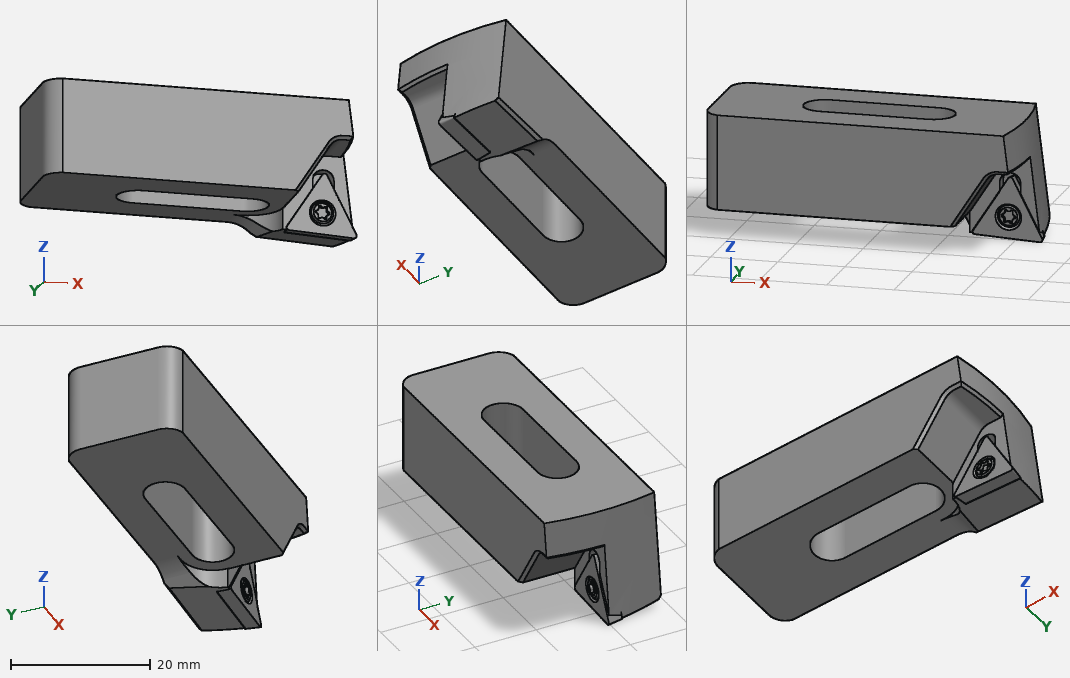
import math

import cadquery as cq

WIDTH = 18.0
SHANK_HEIGHT = 14.1
CORNER_RADIUS = 2.95
SIDE_TRIM = 0.1
MID_Y = WIDTH / 2

SLOT_START = 12.65
SLOT_LENGTH = 22.5
SLOT_WIDTH = 6.3

END_RADIUS = 45.3
END_TOP_X = 45.65

CLEARANCE_ANGLE = 7.0

INSERT_CENTER_X = 43.15
INSERT_CENTER_Z = -0.45
INSERT_INRADIUS = 3.2
INSERT_NOSE_RADIUS = 0.4
INSERT_THICKNESS = 2.35
INSERT_TURN = 3.0
INSERT_PROTRUSION = 0.3
INSERT_FRONT_Y = MID_Y - INSERT_PROTRUSION
INSERT_BACK_Y = INSERT_FRONT_Y + INSERT_THICKNESS
INSERT_EDGE_ANGLE = 60.0 - INSERT_TURN

LEDGE_FOOT_X = 37.4
LEDGE_TOP_Z = 8.25
LEDGE_CORNER_RADIUS = 2.05
LEDGE_EDGE_CHAMFER = 0.5

SCOOP_START_X = 31.45
SCOOP_RADIUS = 4.8
SCOOP_ANGLE = 40.0
NOSE_FRONT_X = 37.3
NOSE_RELIEF_RADIUS = 5.2
NOSE_BACK_CHAMFER = 0.5
NOSE_SETBACK = 0.1

RELIEF_CENTER_X = 43.35
RELIEF_TOP_Z = 6.1
RELIEF_WIDTH = 3.15

SCREW_OFFSET = 0.1
SCREW_Z = INSERT_CENTER_Z + SCREW_OFFSET
COUNTERSINK_RADIUS = 1.95
HEAD_RADIUS = 1.65
HEAD_FLAT_RADIUS = 1.35
HEAD_BEVEL_HEIGHT = 0.2
SHAFT_RADIUS = 1.25
BORE_RADIUS = SHAFT_RADIUS + SCREW_OFFSET
COUNTERSINK_DEPTH = COUNTERSINK_RADIUS - BORE_RADIUS
SCREW_LENGTH = 5.8

LOBES = 6
LOBE_RADIUS = 1.05
LOBE_ROOT_RADIUS = 0.75
LOBE_HALF_ANGLE = 12.0
SOCKET_TURN = 4.0
SOCKET_DEPTH = 0.6

OVERSHOOT = 9.65


def xz_plane(y, x=0.0, z=0.0):
    """Plane at depth y, drawn in X and Z, whose extrusions run towards +Y."""
    return cq.Workplane(cq.Plane(origin=(x, y, z), xDir=(-1, 0, 0), normal=(0, 1, 0)))


def from_front(x, z):
    """Local coordinates on xz_plane for a point at x, z from its origin."""
    return (-x, z)


def triangle_prism():
    """Insert body: rounded triangle, narrowing towards +Y by the clearance angle."""
    circumradius = 2 * INSERT_INRADIUS
    corners = []
    for index in range(3):
        angle = math.radians(90.0 - INSERT_TURN + 120.0 * index)
        corners.append(from_front(circumradius * math.cos(angle), circumradius * math.sin(angle)))
    sharp = cq.Sketch().polygon(corners + corners[:1])
    rounded = sharp.vertices().fillet(INSERT_NOSE_RADIUS)
    start = xz_plane(INSERT_FRONT_Y, INSERT_CENTER_X, INSERT_CENTER_Z)
    return start.placeSketch(rounded).extrude(INSERT_THICKNESS, taper=CLEARANCE_ANGLE)


def shank():
    """Bar with rounded left corners, its two sides then trimmed a little past the tangent line."""
    length = END_TOP_X + OVERSHOOT
    untrimmed = cq.Workplane("XY").box(length, WIDTH + 2 * SIDE_TRIM, SHANK_HEIGHT, centered=False)
    rounded = untrimmed.edges("|Z and <X").fillet(CORNER_RADIUS).translate((0, -SIDE_TRIM, 0))
    trimmed = cq.Workplane("XY").box(length, WIDTH, SHANK_HEIGHT, centered=False)
    return trimmed.intersect(rounded)


def nose_profile():
    """Side outline of the nose: a concave arc leaving the shank, then a straight slope."""
    angle = math.radians(SCOOP_ANGLE)
    arc_end_x = SCOOP_START_X + SCOOP_RADIUS * math.sin(angle)
    arc_end_z = -SCOOP_RADIUS * (1 - math.cos(angle))
    arc_mid_x = SCOOP_START_X + SCOOP_RADIUS * math.sin(angle / 2)
    arc_mid_z = -SCOOP_RADIUS * (1 - math.cos(angle / 2))
    slope_end_x = arc_end_x + OVERSHOOT
    slope_end_z = arc_end_z - OVERSHOOT * math.tan(angle)
    far_x = END_TOP_X + OVERSHOOT
    return (
        xz_plane(MID_Y)
        .moveTo(*from_front(SCOOP_START_X, 0))
        .threePointArc(from_front(arc_mid_x, arc_mid_z), from_front(arc_end_x, arc_end_z))
        .lineTo(*from_front(slope_end_x, slope_end_z))
        .lineTo(*from_front(far_x, slope_end_z))
        .lineTo(*from_front(far_x, 0))
        .close()
        .extrude(MID_Y)
    )


def nose_plan():
    """Outline of the nose from above: a quarter-round hollow leads up to the insert face."""
    hollow_center_x = NOSE_FRONT_X - NOSE_RELIEF_RADIUS
    hollow_back_y = MID_Y + NOSE_RELIEF_RADIUS
    diagonal = NOSE_RELIEF_RADIUS * math.sqrt(0.5)
    far_x = END_TOP_X + OVERSHOOT
    return (
        cq.Workplane("XY")
        .moveTo(far_x, MID_Y)
        .lineTo(NOSE_FRONT_X, MID_Y)
        .threePointArc(
            (hollow_center_x + diagonal, MID_Y + diagonal),
            (hollow_center_x, hollow_back_y),
        )
        .lineTo(SCOOP_START_X, hollow_back_y)
        .lineTo(SCOOP_START_X, WIDTH)
        .lineTo(far_x, WIDTH)
        .close()
        .extrude(-2 * OVERSHOOT)
    )


def below_nose():
    """Everything under the nose: parallel to the lower flank of the insert and set back from it."""
    turn = math.radians(INSERT_TURN)
    tilt = math.radians(CLEARANCE_ANGLE)
    depth = INSERT_INRADIUS - NOSE_SETBACK
    down = cq.Vector(-math.sin(turn), 0, -math.cos(turn))
    origin = cq.Vector(INSERT_CENTER_X, INSERT_FRONT_Y, INSERT_CENTER_Z) + down * depth
    normal = down * math.cos(tilt) + cq.Vector(0, math.sin(tilt), 0)
    along = cq.Vector(math.cos(turn), 0, -math.sin(turn))
    plane = cq.Plane(origin=origin, xDir=along, normal=normal)
    reach = 5 * OVERSHOOT
    return cq.Workplane(plane).rect(reach, reach).extrude(reach)


def nose():
    body = nose_profile().intersect(nose_plan()).cut(below_nose())
    back_lower_edge = body.faces(">Y").edges("<Z")
    return back_lower_edge.chamfer(NOSE_BACK_CHAMFER)


def end_cone():
    """Cone about a vertical axis whose side bounds the tool end."""
    slope = math.tan(math.radians(CLEARANCE_ANGLE))
    bottom_z = -OVERSHOOT
    height = SHANK_HEIGHT - bottom_z
    center = cq.Vector(END_TOP_X - END_RADIUS, MID_Y, bottom_z)
    cone = cq.Solid.makeCone(
        END_RADIUS + height * slope, END_RADIUS, height, center, cq.Vector(0, 0, 1)
    )
    return cq.Workplane(cone)


def ledge_cut():
    """Straight cut from the front face to the middle plane, parallel to the insert's left edge."""
    run = 1 / math.tan(math.radians(INSERT_EDGE_ANGLE))
    bottom_z = -OVERSHOOT
    far_x = END_TOP_X + OVERSHOOT
    corners = [
        from_front(LEDGE_FOOT_X + bottom_z * run, bottom_z),
        from_front(LEDGE_FOOT_X + LEDGE_TOP_Z * run, LEDGE_TOP_Z),
        from_front(far_x, LEDGE_TOP_Z),
        from_front(far_x, bottom_z),
    ]
    inner_corner = corners[1]
    sharp = cq.Sketch().polygon(corners + corners[:1])
    nearest = cq.NearestToPointSelector((*inner_corner, 0))
    rounded = sharp.vertices(nearest).fillet(LEDGE_CORNER_RADIUS)
    return xz_plane(0).placeSketch(rounded).extrude(MID_Y)


def chamfer_ledge_rim(body):
    """Chamfer where the ledge wall meets the front face and the conical end."""
    near = 0.05
    far_x = END_TOP_X + OVERSHOOT
    rim_top_z = LEDGE_TOP_Z + near
    on_front = cq.selectors.BoxSelector((LEDGE_FOOT_X, -near, near), (far_x, near, rim_top_z))
    on_end = cq.selectors.BoxSelector(
        (END_TOP_X, near, LEDGE_TOP_Z - near), (far_x, MID_Y - near, rim_top_z)
    )
    return body.edges(on_front + on_end).chamfer(LEDGE_EDGE_CHAMFER)


def corner_relief():
    radius = RELIEF_WIDTH / 2
    arc_z = RELIEF_TOP_Z - radius
    height = arc_z - INSERT_CENTER_Z
    depth = INSERT_BACK_Y - MID_Y
    round_end = xz_plane(MID_Y, RELIEF_CENTER_X, arc_z).circle(radius).extrude(depth)
    stem = (
        xz_plane(MID_Y, RELIEF_CENTER_X, arc_z - height / 2)
        .rect(RELIEF_WIDTH, height)
        .extrude(depth)
    )
    return round_end.union(stem)


def clamping_slot():
    center_x = SLOT_START + SLOT_LENGTH / 2
    return (
        cq.Workplane("XY")
        .center(center_x, MID_Y)
        .slot2D(SLOT_LENGTH, SLOT_WIDTH)
        .extrude(SHANK_HEIGHT)
    )


def turned(points, axis_z):
    """Solid of revolution from (radius, depth below the insert face) points, on an axis along Y."""
    plane = cq.Plane(
        origin=(INSERT_CENTER_X, INSERT_FRONT_Y, axis_z), xDir=(1, 0, 0), normal=(0, 0, 1)
    )
    return cq.Workplane(plane).polyline(points).close().revolve(360, (0, 0), (0, 1))


def insert_hole():
    """Bore with a 45 degree countersink at the insert face."""
    return turned(
        [
            (0, 0),
            (COUNTERSINK_RADIUS, 0),
            (BORE_RADIUS, COUNTERSINK_DEPTH),
            (BORE_RADIUS, INSERT_THICKNESS),
            (0, INSERT_THICKNESS),
        ],
        INSERT_CENTER_Z,
    )


def threaded_hole():
    start = xz_plane(INSERT_FRONT_Y, INSERT_CENTER_X, SCREW_Z)
    return start.circle(SHAFT_RADIUS).extrude(SCREW_LENGTH)


def drive_socket(face_depth):
    def polar(radius, degrees):
        angle = math.radians(degrees)
        return (radius * math.cos(angle), radius * math.sin(angle))

    pitch = 360.0 / LOBES
    flank_radius = (LOBE_RADIUS + LOBE_ROOT_RADIUS) / 2
    start = xz_plane(INSERT_FRONT_Y + face_depth, INSERT_CENTER_X, SCREW_Z)
    outline = start.moveTo(*polar(flank_radius, SOCKET_TURN - LOBE_HALF_ANGLE))
    for index in range(LOBES):
        tip = SOCKET_TURN + index * pitch
        outline = outline.threePointArc(
            polar(LOBE_RADIUS, tip), polar(flank_radius, tip + LOBE_HALF_ANGLE)
        ).threePointArc(
            polar(LOBE_ROOT_RADIUS, tip + pitch / 2),
            polar(flank_radius, tip + pitch - LOBE_HALF_ANGLE),
        )
    return outline.close().extrude(SOCKET_DEPTH)


def make_holder():
    stepped_shank = chamfer_ledge_rim(shank().intersect(end_cone()).cut(ledge_cut()))
    body = stepped_shank.union(nose().intersect(end_cone()))
    return body.cut(clamping_slot()).cut(triangle_prism()).cut(corner_relief()).cut(threaded_hole())


def make_insert():
    return triangle_prism().cut(insert_hole())


def make_screw():
    """Countersunk screw whose bevelled head bears on the upper side of the insert's countersink."""
    rim_depth = COUNTERSINK_RADIUS - SCREW_OFFSET - HEAD_RADIUS
    face_depth = rim_depth - HEAD_BEVEL_HEIGHT
    body = turned(
        [
            (0, face_depth),
            (HEAD_FLAT_RADIUS, face_depth),
            (HEAD_RADIUS, rim_depth),
            (SHAFT_RADIUS, COUNTERSINK_DEPTH),
            (SHAFT_RADIUS, SCREW_LENGTH),
            (0, SCREW_LENGTH),
        ],
        SCREW_Z,
    )
    return body.cut(drive_socket(face_depth))


holder = make_holder()
insert = make_insert()
screw = make_screw()

result = cq.Compound.makeCompound([holder.val(), insert.val(), screw.val()])